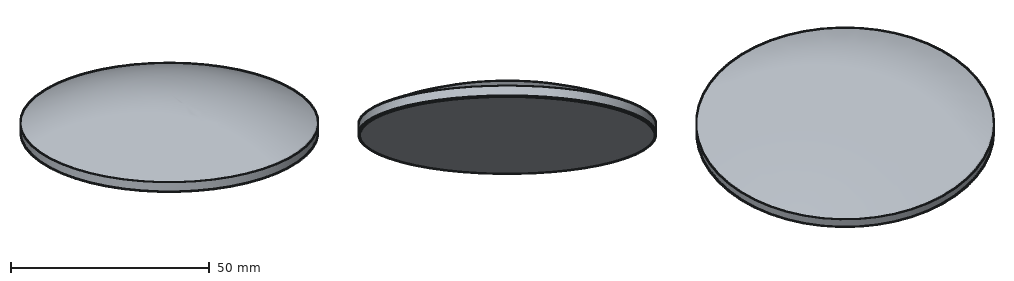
import cadquery as cq
import math

diameter = 75.0
center_thickness = 11.0
rim_height = 3.15
bevel_width = 0.4
bevel_height = 0.3

rim_radius = diameter / 2
dome_edge_radius = rim_radius - bevel_width
dome_rise = center_thickness - rim_height
sphere_radius = (dome_edge_radius**2 + dome_rise**2) / (2 * dome_rise)

half_arc_angle = math.asin(dome_edge_radius / sphere_radius) / 2
sphere_center_z = center_thickness - sphere_radius
arc_middle = (
    sphere_radius * math.sin(half_arc_angle),
    sphere_center_z + sphere_radius * math.cos(half_arc_angle),
)

result = (
    cq.Workplane("XZ")
    .moveTo(0, 0)
    .lineTo(rim_radius - bevel_width, 0)
    .lineTo(rim_radius, bevel_height)
    .lineTo(rim_radius, rim_height - bevel_height)
    .lineTo(dome_edge_radius, rim_height)
    .threePointArc(arc_middle, (0, center_thickness))
    .close()
    .revolve(360, (0, 0, 0), (0, 1, 0))
)